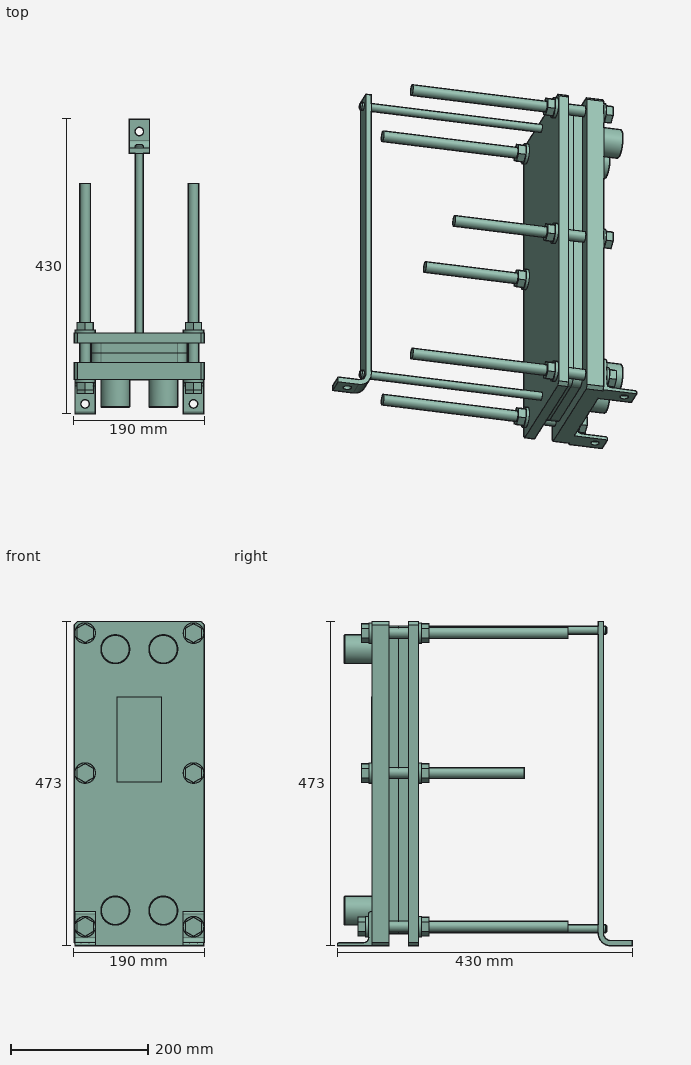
import cadquery as cq
import math


plate_width = 190.0
plate_height = 473.0
corner_chamfer = 5.0
frame_thickness = 25.0
pack_half_thickness = 14.0
pressure_thickness = 15.0
pack_width = 140.0
pack_height = 449.0
pack_corner_radius = 14.0

pack_front_y = frame_thickness
pack_middle_y = pack_front_y + pack_half_thickness
pressure_front_y = pack_middle_y + pack_half_thickness
pressure_rear_y = pressure_front_y + pressure_thickness

pattern_center_z = 242.0
port_diameter = 42.4
port_length = 40.5
port_chamfer = 1.0
port_x = 35.0
port_half_spacing_z = 190.5
label_width = 65.0
label_height = 124.0
label_thickness = 0.5
label_center_z = 301.0

bolt_diameter = 16.0
bolt_x = 79.0
bolt_half_spacing_z = 214.0
middle_bolt_offset_z = 10.0
long_bolt_end_y = 286.0
short_bolt_end_y = 222.0
washer_diameter = 30.0
washer_thickness = 4.5
hex_across_flats = 24.0
hex_height = 11.0
lower_bolt_z = pattern_center_z - bolt_half_spacing_z
middle_bolt_z = pattern_center_z + middle_bolt_offset_z
upper_bolt_z = pattern_center_z + bolt_half_spacing_z

foot_width = 30.0
foot_height = 50.0
foot_length = 50.5
foot_thickness = 5.0
foot_inner_radius = 7.0
foot_edge_radius = 3.5
foot_hole_from_end = 15.0

overall_depth = 430.0
column_width = 30.0
column_thickness = 8.0
column_inner_radius = 11.0
column_foot_length = 50.0
column_hole_from_end = 18.0
column_end_y = overall_depth - foot_length
column_front_y = column_end_y - column_foot_length
column_rear_y = column_front_y + column_thickness
guide_bar_diameter = 12.0
guide_bar_overhang = 5.0
guide_bar_chamfer = 2.0
guide_bar_heights = (25.0, 460.0)

mounting_hole_diameter = 12.0


def cylinder_y(diameter, x, z, y_start, y_end):
    """Round bar along +Y."""
    axis_start = cq.Vector(x, y_start, z)
    bar = cq.Solid.makeCylinder(diameter / 2, y_end - y_start, axis_start, cq.Vector(0, 1, 0))
    return cq.Workplane(obj=bar)


def hexagon_y(x, z, y_start, y_end):
    """Hexagonal prism along Y with corners at its top and bottom."""
    across_corners = hex_across_flats / math.cos(math.pi / 6)
    return (
        cq.Workplane("XZ", origin=(x, y_end, z))
        .transformed(rotate=(0, 0, 90))
        .polygon(6, across_corners)
        .extrude(y_end - y_start)
    )


def cover_plate(y_start, thickness):
    """Upright plate with its four outline corners chamfered."""
    return (
        cq.Workplane("XY")
        .box(plate_width, thickness, plate_height, centered=(True, False, False))
        .translate((0, y_start, 0))
        .edges("|Y")
        .chamfer(corner_chamfer)
    )


def pack_half(y_start):
    """One half of the plate pack, with rounded outline corners."""
    return (
        cq.Workplane("XY")
        .box(pack_width, pack_half_thickness, pack_height, centered=(True, False, True))
        .translate((0, y_start, pattern_center_z))
        .edges("|Y")
        .fillet(pack_corner_radius)
    )


def port(x, z):
    """Connection stub on the frame plate, chamfered at its open end."""
    stub = cylinder_y(port_diameter, x, z, -port_length, 0)
    return stub.faces("<Y").edges().chamfer(port_chamfer)


def label():
    """Thin name plate on the front face of the frame plate."""
    return (
        cq.Workplane("XY")
        .box(label_width, label_thickness, label_height)
        .translate((0, -label_thickness / 2, label_center_z))
    )


def tie_bolt(x, z, seat_y, end_y):
    """Bolt with head and washer at seat_y, and washer and nut behind the pressure plate."""
    head_washer_y = seat_y - washer_thickness
    nut_washer_y = pressure_rear_y + washer_thickness
    shank = cylinder_y(bolt_diameter, x, z, head_washer_y, end_y)
    head_washer = cylinder_y(washer_diameter, x, z, head_washer_y, seat_y)
    head = hexagon_y(x, z, head_washer_y - hex_height, head_washer_y)
    nut_washer = cylinder_y(washer_diameter, x, z, pressure_rear_y, nut_washer_y)
    nut = hexagon_y(x, z, nut_washer_y, nut_washer_y + hex_height)
    return shank.union(head_washer).union(head).union(nut_washer).union(nut)


def front_foot(x):
    """Angle bracket under a lower bolt head, with a mounting hole in its floor leg."""
    profile = [
        (0, 0),
        (-foot_length, 0),
        (-foot_length, foot_thickness),
        (-foot_thickness, foot_thickness),
        (-foot_thickness, foot_height),
        (0, foot_height),
    ]
    bracket = (
        cq.Workplane("YZ", origin=(x - foot_width / 2, 0, 0))
        .polyline(profile)
        .close()
        .extrude(foot_width)
    )
    inner_bend = cq.NearestToPointSelector((x, -foot_thickness, foot_thickness))
    floor_edge = cq.NearestToPointSelector((x, -foot_length, foot_thickness))
    upper_edge = cq.NearestToPointSelector((x, -foot_thickness, foot_height))
    bracket = bracket.edges("|X").edges(inner_bend).fillet(foot_inner_radius)
    bracket = bracket.edges("|X").edges(floor_edge).fillet(foot_edge_radius)
    bracket = bracket.edges("|X").edges(upper_edge).fillet(foot_edge_radius)
    return bracket.cut(mounting_hole(x, foot_hole_from_end - foot_length, foot_thickness))


def mounting_hole(x, y, depth):
    """Cutter for a vertical hole through a leg standing on the floor."""
    return cq.Workplane("XY", origin=(x, y, 0)).circle(mounting_hole_diameter / 2).extrude(depth)


def make_frame():
    """Frame plate with ports, name plate, front feet and the six tie bolts."""
    frame = cover_plate(0, frame_thickness).union(label())
    for side in (-1, 1):
        for end in (-1, 1):
            port_z = pattern_center_z + end * port_half_spacing_z
            frame = frame.union(port(side * port_x, port_z))
        x = side * bolt_x
        frame = frame.union(front_foot(x))
        frame = frame.union(tie_bolt(x, lower_bolt_z, -foot_thickness, long_bolt_end_y))
        frame = frame.union(tie_bolt(x, middle_bolt_z, 0, short_bolt_end_y))
        frame = frame.union(tie_bolt(x, upper_bolt_z, 0, long_bolt_end_y))
    return frame


def make_pressure_plate():
    """Rear plate with a fitting hole for each tie bolt."""
    plate = cover_plate(pressure_front_y, pressure_thickness)
    for x in (-bolt_x, bolt_x):
        for z in (lower_bolt_z, middle_bolt_z, upper_bolt_z):
            plate = plate.cut(cylinder_y(bolt_diameter, x, z, pressure_front_y, pressure_rear_y))
    return plate


def guide_bar(z):
    """Bar from the pressure plate through the column, chamfered at its rear end."""
    bar = cylinder_y(guide_bar_diameter, 0, z, pressure_rear_y, column_rear_y + guide_bar_overhang)
    return bar.faces(">Y").edges().chamfer(guide_bar_chamfer)


def make_support():
    """Rear column, bent backwards into a foot, with its two guide bars."""
    outer_radius = column_inner_radius + column_thickness
    bend_z = outer_radius
    bend_y = column_front_y + outer_radius
    diagonal = math.sqrt(0.5)
    outer_middle = (bend_y - outer_radius * diagonal, bend_z - outer_radius * diagonal)
    inner_middle = (bend_y - column_inner_radius * diagonal, bend_z - column_inner_radius * diagonal)
    column = (
        cq.Workplane("YZ", origin=(-column_width / 2, 0, 0))
        .moveTo(column_front_y, plate_height)
        .lineTo(column_front_y, bend_z)
        .threePointArc(outer_middle, (bend_y, 0))
        .lineTo(column_end_y, 0)
        .lineTo(column_end_y, column_thickness)
        .lineTo(bend_y, column_thickness)
        .threePointArc(inner_middle, (column_rear_y, bend_z))
        .lineTo(column_rear_y, plate_height)
        .close()
        .extrude(column_width)
    )
    column = column.cut(mounting_hole(0, column_end_y - column_hole_from_end, column_thickness))
    for z in guide_bar_heights:
        column = column.union(guide_bar(z))
    return column


frame = make_frame()
front_pack = pack_half(pack_front_y)
rear_pack = pack_half(pack_middle_y)
pressure_plate = make_pressure_plate()
support = make_support()

result = cq.Compound.makeCompound(
    [frame.val(), front_pack.val(), rear_pack.val(), pressure_plate.val(), support.val()]
)